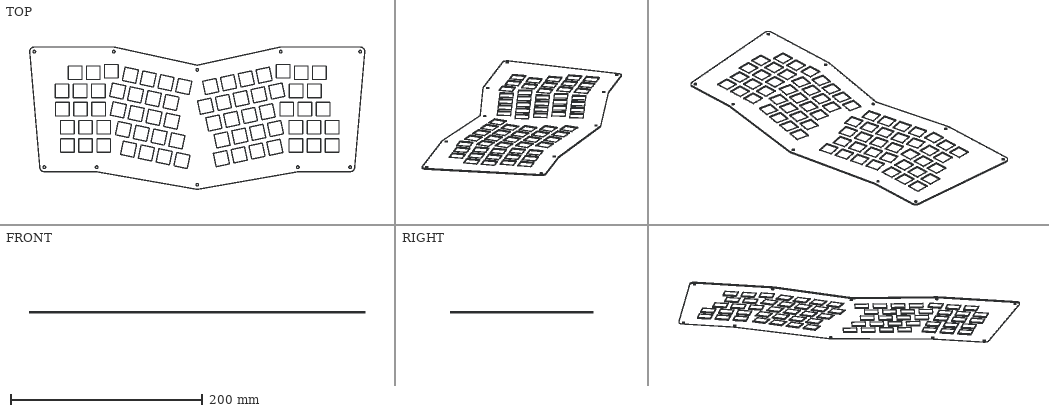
import cadquery as cq

width = 351.0
depth = 149.2
thickness = 1.25
edge_margin = 5.0
screw_diameter = 2.6

top_screw_y = depth / 2 - edge_margin
outer_top_screw = (width / 2 - edge_margin, top_screw_y)
inner_top_screw = (87.5, top_screw_y)
middle_top_screw = (0, 50.5)
outer_bottom_screw = (160.0, -51.3)
inner_bottom_screw = (105.3, -51.3)
middle_bottom_screw = (0, -top_screw_y)

cutout_size = 14.0
four_key_span = 76.2
key_pitch = four_key_span / 4

straight_top_row_y = 2.5 * key_pitch
top_row_inner_x = 90.0
top_row_inner_lift = 1.58
top_row_outer_keys = 2
left_straight_rows = [(103.5, 3), (103.2, 3), (98.0, 3), (98.0, 3)]
right_straight_rows = [(103.5, 2), (93.7, 3), (103.2, 3), (103.2, 3)]

tilt_angle = 12.0
tilted_top_row_y = 29.5
tilted_inner_x = 20.7
left_tilted_rows = [(0, 4), (0.5, 4), (0.25, 4), (-0.25, 4), (-0.75, 4)]
right_tilted_rows = [(0, 4), (-0.5, 5), (-0.25, 4), (0, 4), (-0.25, 4)]

LEFT = -1
RIGHT = 1


def mirrored(point):
    return (-point[0], point[1])


def row_centres(side, inner_x, y, keys):
    """Centres of one row of keys, from the innermost key outwards."""
    return [(side * (inner_x + i * key_pitch), y) for i in range(keys)]


def straight_centres(side, lower_rows):
    y = straight_top_row_y
    centres = [(side * top_row_inner_x, y + top_row_inner_lift)]
    centres += row_centres(side, top_row_inner_x + key_pitch, y, top_row_outer_keys)
    for inner_x, keys in lower_rows:
        y -= key_pitch
        centres += row_centres(side, inner_x, y, keys)
    return centres


def tilted_centres(side, rows):
    """Centres before the block is turned by the tilt angle."""
    centres = []
    for row, (shift, keys) in enumerate(rows):
        inner_x = tilted_inner_x + shift * key_pitch
        centres += row_centres(side, inner_x, tilted_top_row_y - row * key_pitch, keys)
    return centres


def key_cutters(centres, angle=0.0):
    plane = cq.Workplane("XY").transformed(rotate=(0, 0, angle))
    return plane.pushPoints(centres).rect(cutout_size, cutout_size).extrude(thickness)


screw_loop = [
    middle_top_screw,
    inner_top_screw,
    outer_top_screw,
    outer_bottom_screw,
    inner_bottom_screw,
    middle_bottom_screw,
    mirrored(inner_bottom_screw),
    mirrored(outer_bottom_screw),
    mirrored(outer_top_screw),
    mirrored(inner_top_screw),
]
plate = cq.Workplane("XY").polyline(screw_loop).close().offset2D(edge_margin, "arc").extrude(thickness)

screw_cutters = cq.Workplane("XY").pushPoints(screw_loop).circle(screw_diameter / 2).extrude(thickness)

result = (
    plate.cut(screw_cutters)
    .cut(key_cutters(straight_centres(LEFT, left_straight_rows)))
    .cut(key_cutters(straight_centres(RIGHT, right_straight_rows)))
    .cut(key_cutters(tilted_centres(LEFT, left_tilted_rows), -tilt_angle))
    .cut(key_cutters(tilted_centres(RIGHT, right_tilted_rows), tilt_angle))
)